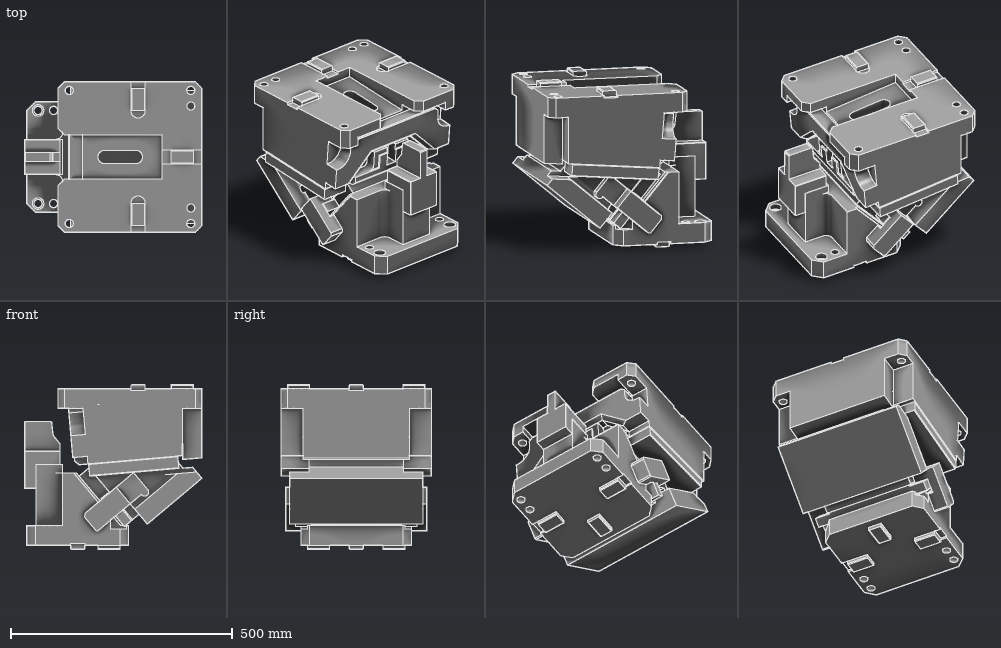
import cadquery as cq
import math

SLOPE = math.radians(50)
TILT = math.radians(5)
TRACK_Z = 182.0


def slope_point(n, t):
    """Driver slope coordinates to (X, Z)."""
    return (
        n * math.sin(SLOPE) + t * math.cos(SLOPE),
        n * math.cos(SLOPE) - t * math.sin(SLOPE),
    )


def track_point(s, h):
    """Slide track coordinates to (X, Z)."""
    return (
        s * math.cos(TILT) - h * math.sin(TILT),
        TRACK_Z + s * math.sin(TILT) + h * math.cos(TILT),
    )


def prism(points, y_min, y_max):
    """Closed (X, Z) outline extruded from y_min to y_max."""
    return cq.Workplane("XZ", origin=(0, y_min, 0)).polyline(points).close().extrude(y_min - y_max)


def box(x_min, x_max, y_min, y_max, z_min, z_max):
    lengths = (x_max - x_min, y_max - y_min, z_max - z_min)
    return cq.Workplane("XY").box(*lengths, centered=False).translate((x_min, y_min, z_min))


def slope_box(n_min, n_max, t_min, t_max, y_min, y_max):
    corners = [(n_min, t_min), (n_max, t_min), (n_max, t_max), (n_min, t_max)]
    return prism([slope_point(n, t) for n, t in corners], y_min, y_max)


def track_box(s_min, s_max, h_min, h_max, y_min, y_max):
    corners = [(s_min, h_min), (s_max, h_min), (s_max, h_max), (s_min, h_max)]
    return prism([track_point(s, h) for s, h in corners], y_min, y_max)


def track_plane(s):
    """Plane across the track at s, with local axes Y and h."""
    x, z = track_point(s, 0)
    return cq.Plane(origin=(x, 0, z), xDir=(0, 1, 0), normal=(math.cos(TILT), 0, math.sin(TILT)))


def both_sides(solid):
    """A feature on the -Y side joined with its mirror image."""
    return solid.union(solid.mirror("XZ"))


def hole(x, y, diameter, z_min, z_max):
    return cq.Workplane("XY", origin=(x, y, z_min)).circle(diameter / 2).extrude(z_max - z_min)


KEY_WIDTH = 32.0
KEY_LENGTH = 50.0
KEY_PROUD = 9.0
KEY_SLOT_DEPTH = 5.0
KEY_CHAMFER = 2.0


def key(along_x):
    """Key centred on the origin, standing on its slot floor below Z = 0."""
    height = KEY_PROUD + KEY_SLOT_DEPTH
    block = cq.Workplane("XY").box(KEY_WIDTH, KEY_LENGTH, height).edges(">Z and |Y").chamfer(KEY_CHAMFER)
    block = block.translate((0, 0, height / 2 - KEY_SLOT_DEPTH))
    if along_x:
        block = block.rotate((0, 0, 0), (0, 0, 1), 90)
    return block


def side_key_slot(x, y_edge, y_centre):
    """Slot open at the -Y edge, its round end centred at y_centre, cut down from Z = 0."""
    straight = box(x - KEY_WIDTH / 2, x + KEY_WIDTH / 2, y_edge, y_centre, -KEY_SLOT_DEPTH, KEY_PROUD)
    return straight.union(hole(x, y_centre, KEY_WIDTH, -KEY_SLOT_DEPTH, KEY_PROUD))


DRIVER_LENGTH = 230.0
DRIVER_WIDTH = 250.0
DRIVER_PLATE = 45.0
DRIVER_CHAMFER = 20.0
DRIVER_BACK = -34.0
DRIVER_TOP = 164.0
SIDE_N = 98.0
SLOPE_N = 103.0
SIDE_STEP = 5.0
WEAR_N = 113.0
FLANGE_N = (108.0, 129.0)
CONTACT_N = 132.0
RAIL_END_T = 35.0
RAIL_START_T = -118.0
RAIL_HALF = 102.0
FLANGE_HALF = 137.0
FLANGE_START_T = -47.0
FOOT_X = 74.0
FOOT_Z = 37.0
FOOT_HALF = 110.0
CORNER_RADIUS = 15.0
PILLAR_BACK = -94.5
PILLAR_TOP = 183.0
PILLAR_HALF = 40.0
STOP_BACK = -120.0
STOP_FRONT = -39.5
STOP_BOTTOM = 129.0
STOP_TOP = 213.0
STOP_CHAMFER = 1.0
STOP_HALF = 39.5
FIN_TOP = 280.0
FIN_HALF = 10.0
FIN_CHAMFER = 2.0
DRIVER_BOLT = (-89.5, 105.0)
DRIVER_DOWEL = (-54.5, 105.0)
DRIVER_KEY_Y = 85.0
DRIVER_KEY_X = 70.5
HOLE_DIAMETER = 18.0
BOLT_HEAD = 26.0
BOLT_HEAD_DEPTH = 15.0


def driver_footprint(height):
    """Base plate outline raised from Z = 0 to the given height."""
    return (
        cq.Workplane("XY")
        .rect(DRIVER_LENGTH, DRIVER_WIDTH)
        .extrude(height)
        .edges("|Z")
        .chamfer(DRIVER_CHAMFER)
    )


def wedge_layer(n, half_width):
    """Block between the wall and the slope plane at height n."""
    slope_top_x = (n - DRIVER_TOP * math.cos(SLOPE)) / math.sin(SLOPE)
    end_x, end_z = slope_point(n, RAIL_END_T)
    outline = [
        (DRIVER_BACK, 0),
        (DRIVER_BACK, DRIVER_TOP),
        (slope_top_x, DRIVER_TOP),
        (end_x, end_z),
        (end_x, 0),
    ]
    return prism(outline, -half_width, half_width)


def driver_wedge():
    half = DRIVER_WIDTH / 2
    front = DRIVER_LENGTH / 2
    wedge = wedge_layer(SIDE_N, half).union(wedge_layer(SLOPE_N, half - SIDE_STEP))
    core_front_z = (WEAR_N - front * math.sin(SLOPE)) / math.cos(SLOPE)
    core = [
        slope_point(SLOPE_N, RAIL_START_T),
        slope_point(WEAR_N, RAIL_START_T),
        (front, core_front_z),
        (front, 0),
        (0, 0),
    ]
    return wedge.union(prism(core, -RAIL_HALF, RAIL_HALF))


def foot_seats():
    """Low seats with rounded inner corners at both front corners."""
    seat = (
        box(FOOT_X, DRIVER_LENGTH, -DRIVER_WIDTH, -FOOT_HALF, FOOT_Z, DRIVER_TOP)
        .edges("|Z and <X and >Y")
        .fillet(CORNER_RADIUS)
    )
    return both_sides(seat)


def driver_rails():
    centre = slope_box(SLOPE_N, CONTACT_N, RAIL_START_T, RAIL_END_T, -RAIL_HALF, RAIL_HALF)
    flanges = slope_box(*FLANGE_N, FLANGE_START_T, RAIL_END_T, -FLANGE_HALF, FLANGE_HALF)
    return centre.union(flanges)


def pillar():
    post = box(PILLAR_BACK, DRIVER_BACK, -PILLAR_HALF, PILLAR_HALF, 0, PILLAR_TOP)
    root = box(
        DRIVER_BACK - CORNER_RADIUS, DRIVER_BACK,
        -PILLAR_HALF - CORNER_RADIUS, -PILLAR_HALF, 0, DRIVER_TOP,
    )
    root = root.cut(
        hole(DRIVER_BACK - CORNER_RADIUS, -PILLAR_HALF - CORNER_RADIUS, 2 * CORNER_RADIUS, 0, DRIVER_TOP)
    )
    return post.union(both_sides(root))


def stop_block():
    """Return stop on the pillar with an upright fin."""
    block = (
        box(STOP_BACK, STOP_FRONT, -STOP_HALF, STOP_HALF, STOP_BOTTOM, STOP_TOP)
        .edges("|Z or (>Z and |X)")
        .chamfer(STOP_CHAMFER)
    )
    fin_outline = [
        (STOP_BACK, STOP_BOTTOM),
        (STOP_BACK, FIN_TOP - FIN_CHAMFER),
        (STOP_BACK + FIN_CHAMFER, FIN_TOP),
        (-62.5, FIN_TOP),
        (-58.5, FIN_TOP - FIN_CHAMFER),
        (-55.5, 250.0),
        (-53.0, 245.5),
        (STOP_FRONT, 229.0),
        (STOP_FRONT, STOP_BOTTOM),
    ]
    return block.union(prism(fin_outline, -FIN_HALF, FIN_HALF))


def make_driver():
    wedge = driver_wedge().intersect(driver_footprint(PILLAR_TOP))
    body = driver_footprint(DRIVER_PLATE).union(wedge).cut(foot_seats())
    body = body.union(driver_rails()).union(pillar()).union(stop_block())
    underside_slots = both_sides(side_key_slot(0, -DRIVER_WIDTH / 2, -DRIVER_KEY_Y))
    body = body.cut(underside_slots.mirror("XY"))
    side_keys = both_sides(key(False).translate((0, -DRIVER_KEY_Y, 0)))
    front_key = key(True).translate((DRIVER_KEY_X, 0, 0))
    body = body.union(side_keys.union(front_key).mirror("XY"))
    for side in (-1, 1):
        x, y = DRIVER_BOLT
        body = body.cut(hole(x, side * y, HOLE_DIAMETER, 0, DRIVER_PLATE))
        body = body.cut(hole(x, side * y, BOLT_HEAD, DRIVER_PLATE - BOLT_HEAD_DEPTH, DRIVER_PLATE))
        x, y = DRIVER_DOWEL
        body = body.cut(hole(x, side * y, HOLE_DIAMETER, 0, DRIVER_PLATE))
    return body


HOLDER_BACK = -45.0
HOLDER_FRONT = 280.0
HOLDER_HALF = 170.0
HOLDER_TOP = 354.0
HOLDER_PLATE = 45.0
HOLDER_CHAMFER = 15.0
PLATE_BOTTOM = HOLDER_TOP - HOLDER_PLATE
FACE_S = -10.0
CHEEK_H = 17.0
STEP_S = 23.0
GIB_START_S = 24.5
GIB_END_S = 226.5
GIB_THICKNESS = 28.0
GIB_GROOVE = 1.5
NECK_HALF = 106.0
BODY_FRONT = 236.0
END_HALF = 120.0
END_BOTTOM_H = -9.0
BRIDGE_HALF = 131.0
BRIDGE_BOTTOM = 328.5
POCKET_HALF = 50.0
POCKET_END = 190.5
SHELF_FRONT = 11.0
SHELF_Z = PLATE_BOTTOM
FACE_LEDGE = 2.0
SHELF_BACK = (FACE_S - (SHELF_Z - FACE_LEDGE - TRACK_Z) * math.sin(TILT)) / math.cos(TILT)
FLOOR_END_Z = 330.5
SLOT_ENDS = (45.5, 146.0)
SLOT_WIDTH = 30.0
TUNNEL_H = 81.0
TUNNEL_TOP_HALF = 65.0
LEAD_IN = 10.0
TUNNEL_END_S = 230.0
SCOOP_TOP_H = 129.0
SCOOP_BOTTOM_H = 66.5
SCOOP_RADIUS = 35.0
SCOOP_FLARE = 11.0
HOLDER_BOLTS_X = (-19.0, 255.0)
HOLDER_BOLT_Y = 150.0
HOLDER_DOWEL = (255.0, 115.0)
DOWEL_DEPTH = 40.0
HOLDER_KEY_X = 136.0
HOLDER_KEY_Y = 130.0
HOLDER_SLOT_Y = 104.0
HOLDER_FRONT_KEY_X = 235.5


def holder_plate():
    return (
        box(HOLDER_BACK, HOLDER_FRONT, -HOLDER_HALF, HOLDER_HALF, PLATE_BOTTOM, HOLDER_TOP)
        .edges("|Z")
        .chamfer(HOLDER_CHAMFER)
    )


def holder_cheeks():
    """Full-width body under the plate, with its gibs and the narrower front end."""
    body_front_s = BODY_FRONT / math.cos(TILT)
    outline = [
        (SHELF_BACK + FACE_LEDGE, HOLDER_TOP),
        (SHELF_BACK + FACE_LEDGE, PLATE_BOTTOM),
        (SHELF_BACK, PLATE_BOTTOM - FACE_LEDGE),
        track_point(FACE_S, CHEEK_H),
        track_point(STEP_S, CHEEK_H),
        track_point(STEP_S, 0),
        track_point(body_front_s, 0),
        (BODY_FRONT, HOLDER_TOP),
    ]
    body = prism(outline, -HOLDER_HALF, HOLDER_HALF)
    front_end = [
        track_point(body_front_s, END_BOTTOM_H),
        track_point(HOLDER_FRONT / math.cos(TILT), END_BOTTOM_H),
        (HOLDER_FRONT, PLATE_BOTTOM),
        (BODY_FRONT - 1, PLATE_BOTTOM),
    ]
    limits = box(BODY_FRONT, HOLDER_FRONT, -HOLDER_HALF, HOLDER_HALF, 0, HOLDER_TOP)
    body = body.union(prism(front_end, -END_HALF, END_HALF).intersect(limits))
    gib = track_box(GIB_START_S, GIB_END_S, -GIB_THICKNESS, 0, -HOLDER_HALF, -NECK_HALF)
    gib = gib.faces("<Y").edges("<Z").chamfer(GIB_GROOVE)
    groove = track_box(GIB_START_S, GIB_END_S, -GIB_GROOVE, 0, -HOLDER_HALF, -HOLDER_HALF + GIB_GROOVE)
    return body.union(both_sides(gib.cut(groove)))


def tunnel_section(s, inset):
    """Workplane across the track at s holding the tunnel outline shrunk by inset."""
    top_half = TUNNEL_TOP_HALF - inset * math.tan(math.pi / 8)
    top = TUNNEL_H - inset
    low_half = top_half + top - CHEEK_H
    bottom = inset - LEAD_IN
    outline = [(-low_half, bottom), (-low_half, CHEEK_H), (-top_half, top)]
    outline += [(-y, h) for y, h in reversed(outline)]
    return cq.Workplane(track_plane(s)).polyline(outline).close()


def tunnel_room(start_s, end_s):
    """Trapezoidal track room, also the shape of the slide head that fills it."""
    return tunnel_section(start_s, LEAD_IN).extrude(end_s - start_s)


def tunnel_mouth():
    """Mouth of the track room, narrowing inwards at 45 degrees on every side."""
    return tunnel_section(FACE_S, 0).extrude(LEAD_IN, taper=45)


def head_pocket():
    """Open pocket in the plate with a shelf and a rising floor."""
    outline = [
        (HOLDER_BACK, SHELF_Z),
        (SHELF_FRONT, SHELF_Z),
        (SHELF_FRONT, FLOOR_END_Z - (POCKET_END - SHELF_FRONT) * math.tan(TILT)),
        (POCKET_END, FLOOR_END_Z),
        (POCKET_END, HOLDER_TOP),
        (HOLDER_BACK, HOLDER_TOP),
    ]
    pocket = prism(outline, -POCKET_HALF, POCKET_HALF)
    mouth = (
        cq.Workplane("XY", origin=(0, 0, PLATE_BOTTOM))
        .polyline([
            (HOLDER_BACK, -POCKET_HALF - HOLDER_CHAMFER),
            (HOLDER_BACK + HOLDER_CHAMFER, -POCKET_HALF),
            (HOLDER_BACK + HOLDER_CHAMFER, POCKET_HALF),
            (HOLDER_BACK, POCKET_HALF + HOLDER_CHAMFER),
        ])
        .close()
        .extrude(HOLDER_PLATE)
    )
    slot = (
        cq.Workplane("XY", origin=(sum(SLOT_ENDS) / 2, 0, TRACK_Z))
        .slot2D(SLOT_ENDS[1] - SLOT_ENDS[0], SLOT_WIDTH)
        .extrude(HOLDER_TOP - TRACK_Z)
    )
    return pocket.union(mouth).union(slot)


def corner_scoops():
    """Bolt access pockets at the back corners, with a quarter-round floor."""
    outer = -HOLDER_HALF
    inner = -BRIDGE_HALF
    arc_end_y = inner - SCOOP_RADIUS
    arc_offset = SCOOP_RADIUS * (1 - math.sqrt(0.5))
    scoop = (
        cq.Workplane(track_plane(2 * FACE_S))
        .moveTo(outer, SCOOP_TOP_H)
        .lineTo(inner + SCOOP_FLARE, SCOOP_TOP_H)
        .lineTo(inner, SCOOP_TOP_H - SCOOP_FLARE)
        .lineTo(inner, SCOOP_BOTTOM_H + SCOOP_RADIUS)
        .threePointArc((inner - arc_offset, SCOOP_BOTTOM_H + arc_offset), (arc_end_y, SCOOP_BOTTOM_H))
        .lineTo(outer, SCOOP_BOTTOM_H)
        .close()
        .extrude(STEP_S - 2 * FACE_S)
    )
    return both_sides(scoop)


def make_holder():
    body = holder_cheeks().cut(corner_scoops()).union(holder_plate())
    body = body.cut(box(HOLDER_BACK, SHELF_FRONT, -BRIDGE_HALF, BRIDGE_HALF, PLATE_BOTTOM, BRIDGE_BOTTOM))
    body = body.cut(tunnel_mouth()).cut(tunnel_room(FACE_S + LEAD_IN, TUNNEL_END_S))
    body = body.cut(track_box(FACE_S, BODY_FRONT, -GIB_THICKNESS, CHEEK_H, -NECK_HALF, NECK_HALF))
    body = body.cut(head_pocket())
    slots = both_sides(side_key_slot(HOLDER_KEY_X, -HOLDER_HALF, -HOLDER_SLOT_Y))
    front_slot = box(
        POCKET_END, HOLDER_FRONT, -KEY_WIDTH / 2, KEY_WIDTH / 2, -KEY_SLOT_DEPTH, KEY_PROUD
    )
    body = body.cut(slots.union(front_slot).translate((0, 0, HOLDER_TOP)))
    keys = both_sides(key(False).translate((HOLDER_KEY_X, -HOLDER_KEY_Y, 0)))
    keys = keys.union(key(True).translate((HOLDER_FRONT_KEY_X, 0, 0)))
    body = body.union(keys.translate((0, 0, HOLDER_TOP)))
    for side in (-1, 1):
        for x in HOLDER_BOLTS_X:
            body = body.cut(hole(x, side * HOLDER_BOLT_Y, HOLE_DIAMETER, PLATE_BOTTOM, HOLDER_TOP))
        x, y = HOLDER_DOWEL
        body = body.cut(hole(x, side * y, HOLE_DIAMETER, HOLDER_TOP - DOWEL_DEPTH, HOLDER_TOP))
    return body


PLATE_N = 151.0
PLATE_END_N = 312.0
PLATE_T = 20.0
TOOL_FACE_T = 64.0
PLATE_CLEAR_H = -39.5
PLATE_HALF = 150.0
WEB_FILLET = 15.0
NECK_END_N = 294.0
HOOK_N = (53.0, 202.0)
HOOK_T = (-45.0, 4.0)
HOOK_HALF = 159.0
HOOK_LIP_N = 96.0
HOOK_CHAMFER = 6.0
BOSS_RADIUS = 9.0
BOSS_CENTRE = (193.0, 5.0)
ARM_HALF = 125.0
HEAD_START_S = 20.0
NOSE_START_S = -6.5
NOSE_BOTTOM_H = -0.5
NOSE_CHAMFER = 9.5
NOSE_TOP_H = 23.0
RIDGE_S = -3.0
RIDGE_TOP_H = 68.0
RIDGE_RADIUS = 10.0
POST_Y = (12.5, 35.0)
POST_TOP_H = 55.0


def make_web():
    """Tool plate, web and neck, bounded below by the sliding plane."""
    plate = slope_box(PLATE_N, PLATE_END_N, PLATE_T, TOOL_FACE_T, -PLATE_HALF, PLATE_HALF)
    root_end_t = PLATE_T - WEB_FILLET
    root = slope_box(PLATE_N, PLATE_END_N, root_end_t, PLATE_T, -NECK_HALF - WEB_FILLET, -NECK_HALF)
    root_x, root_z = slope_point(PLATE_N, root_end_t)
    along_slope_normal = cq.Plane(
        origin=(root_x, -NECK_HALF - WEB_FILLET, root_z),
        xDir=(0, 1, 0),
        normal=(math.sin(SLOPE), 0, math.cos(SLOPE)),
    )
    root = root.cut(cq.Workplane(along_slope_normal).circle(WEB_FILLET).extrude(PLATE_END_N - PLATE_N))
    plate = plate.union(both_sides(root))
    plate = plate.cut(track_box(0, HOLDER_FRONT, PLATE_CLEAR_H, TRACK_Z, -HOLDER_HALF, -NECK_HALF))
    plate = plate.cut(track_box(0, HOLDER_FRONT, PLATE_CLEAR_H, TRACK_Z, NECK_HALF, HOLDER_HALF))
    web = slope_box(CONTACT_N, PLATE_N, RAIL_START_T, RAIL_END_T, -NECK_HALF, NECK_HALF)
    web = web.union(slope_box(PLATE_N, PLATE_END_N, RAIL_START_T, PLATE_T, -NECK_HALF, NECK_HALF))
    body = plate.union(web)
    above_web = track_box(
        -HOLDER_FRONT, 2 * HOLDER_FRONT, -GIB_THICKNESS, TRACK_Z, -HOLDER_HALF, HOLDER_HALF
    )
    body = body.cut(above_web)
    neck = track_box(RIDGE_S, BODY_FRONT, -GIB_THICKNESS, 0, -NECK_HALF, NECK_HALF)
    neck_limits = slope_box(CONTACT_N, NECK_END_N, RAIL_START_T, PLATE_END_N, -NECK_HALF, NECK_HALF)
    return body.union(neck.intersect(neck_limits))


def slide_hook():
    """Side hook gripping under the guide flange of the driver."""
    n_min, n_max = HOOK_N
    t_min, t_max = HOOK_T
    half = DRIVER_WIDTH / 2
    outline = [
        (n_min + HOOK_CHAMFER, t_min),
        (PLATE_N, t_min),
        (PLATE_N, t_max),
        (n_min + HOOK_CHAMFER / 2, t_max),
        (n_min, t_max - HOOK_CHAMFER / 2),
        (n_min, t_min + HOOK_CHAMFER),
    ]
    grip = prism([slope_point(n, t) for n, t in outline], -HOOK_HALF, -NECK_HALF)
    grip = grip.cut(slope_box(n_min, HOOK_LIP_N, t_min, t_max, -half, -NECK_HALF))
    grip = grip.cut(slope_box(HOOK_LIP_N, FLANGE_N[1], t_min, t_max, -FLANGE_HALF, -NECK_HALF))
    arm = slope_box(PLATE_N, n_max, t_min, t_max, -ARM_HALF, -NECK_HALF)
    x, z = slope_point(*BOSS_CENTRE)
    boss = cq.Workplane("XZ", origin=(x, -NECK_HALF, z)).circle(BOSS_RADIUS).extrude(ARM_HALF - NECK_HALF)
    return grip.union(arm).union(boss).cut(
        track_box(0, HOLDER_FRONT, -GIB_THICKNESS, 0, -HOLDER_HALF, -NECK_HALF)
    )


def slide_head():
    """Head in the tunnel, chamfered nose, and slotted ridge with two posts."""
    head = tunnel_room(HEAD_START_S, TUNNEL_END_S)
    head = head.cut(track_box(0, HOLDER_FRONT, 0, CHEEK_H, -HOLDER_HALF, -NECK_HALF))
    head = head.cut(track_box(0, HOLDER_FRONT, 0, CHEEK_H, NECK_HALF, HOLDER_HALF))
    nose_outline = [
        (NOSE_START_S, NOSE_TOP_H),
        (NOSE_START_S, NOSE_BOTTOM_H + NOSE_CHAMFER),
        (NOSE_START_S + NOSE_CHAMFER, NOSE_BOTTOM_H),
        (STEP_S, NOSE_BOTTOM_H),
        (STEP_S, NOSE_TOP_H),
    ]
    nose = prism([track_point(*point) for point in nose_outline], -NECK_HALF, NECK_HALF)
    ridge_root = RIDGE_RADIUS * (1 - math.sqrt(0.5))
    ridge = (
        cq.Workplane(track_plane(RIDGE_S))
        .moveTo(0, NOSE_TOP_H)
        .lineTo(-POCKET_HALF - RIDGE_RADIUS, NOSE_TOP_H)
        .threePointArc(
            (-POCKET_HALF - ridge_root, NOSE_TOP_H + ridge_root),
            (-POCKET_HALF, NOSE_TOP_H + RIDGE_RADIUS),
        )
        .lineTo(-POCKET_HALF, RIDGE_TOP_H)
        .lineTo(0, RIDGE_TOP_H)
        .close()
        .extrude(HEAD_START_S - RIDGE_S)
    )
    ridge = both_sides(ridge)
    post_inner, post_outer = POST_Y
    ridge = ridge.cut(track_box(RIDGE_S, HEAD_START_S, NOSE_TOP_H, RIDGE_TOP_H, -post_inner, post_inner))
    post = track_box(NOSE_START_S, RIDGE_S, NOSE_TOP_H, POST_TOP_H, -post_outer, -post_inner)
    return head.union(nose).union(ridge).union(both_sides(post))


def make_slide():
    return make_web().union(both_sides(slide_hook())).union(slide_head())


driver = make_driver()
holder = make_holder()
slide = make_slide()

result = cq.Compound.makeCompound([body.solids().val() for body in (driver, slide, holder)])